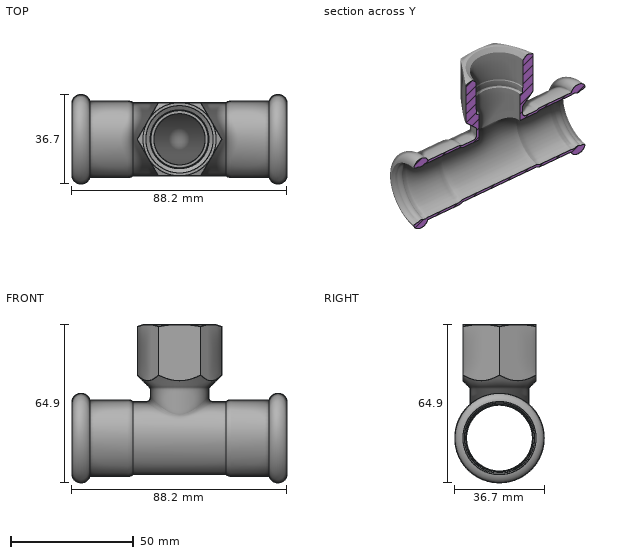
import cadquery as cq
import math

run_length = 88.2
wall = 1.5
body_radius = 15.0
body_bore_radius = body_radius - wall
socket_radius = 15.7
socket_bore_radius = socket_radius - wall

step_start_x = 19.05
step_end_x = 21.15

bead_radius = 18.35
bead_width = 7.35
mouth_radius = 15.0
land_radius = 14.4
lead_in_length = 1.35
land_length = 1.05
seal_radius = 13.85
seal_width = 3.0
land_runout = 0.95

neck_radius = 12.0
branch_bore_radius = neck_radius - wall
branch_fillet = 1.5

hex_flats = 30.0
hex_corners = hex_flats / math.cos(math.radians(30))
hex_top_z = 46.5
hex_length = 26.0
hex_bottom_z = hex_top_z - hex_length
top_chamfer_angle = math.radians(20)
collar_fillet = 1.0
thread_bore_radius = 24.12 / 2
thread_depth = 15.9
thread_mouth_radius = 13.8
relief_radius = 23.48 / 2
socket_floor_depth = 19.0


def step_arc_middle(tangent_radius, end_radius, end_x):
    """Middle point of the arc that is tangent to a socket cylinder and drops to end_radius at end_x."""
    run = step_end_x - end_x
    drop = tangent_radius - end_radius
    arc_radius = (run**2 + drop**2) / (2 * drop)
    half_angle = math.asin(run / arc_radius) / 2
    middle_x = step_end_x - arc_radius * math.sin(half_angle)
    middle_radius = tangent_radius - arc_radius * (1 - math.cos(half_angle))
    return middle_x, middle_radius


def both_ends(half_profile):
    """Revolve a profile about X and join it with its mirror image."""
    half = half_profile.close().revolve(360, (0, 0, 0), (1, 0, 0))
    return half.union(half.mirror("YZ"), clean=True)


def run_outside():
    end_x = run_length / 2
    bead_start_x = end_x - bead_width
    profile = (
        cq.Workplane("XY")
        .lineTo(0, body_radius)
        .lineTo(step_start_x, body_radius)
        .threePointArc(
            step_arc_middle(socket_radius, body_radius, step_start_x),
            (step_end_x, socket_radius),
        )
        .lineTo(bead_start_x, socket_radius)
        .threePointArc((end_x - bead_width / 2, bead_radius), (end_x, mouth_radius))
        .lineTo(end_x, 0)
    )
    return both_ends(profile)


def run_bore():
    end_x = run_length / 2
    lip_x = end_x - lead_in_length
    seal_outer_x = lip_x - land_length
    seal_inner_x = seal_outer_x - seal_width
    land_end_x = seal_inner_x - land_length
    profile = (
        cq.Workplane("XY")
        .lineTo(0, body_bore_radius)
        .lineTo(step_start_x, body_bore_radius)
        .threePointArc(
            step_arc_middle(socket_bore_radius, body_bore_radius, step_start_x),
            (step_end_x, socket_bore_radius),
        )
        .lineTo(land_end_x - land_runout, socket_bore_radius)
        .lineTo(land_end_x, land_radius)
        .lineTo(seal_inner_x, land_radius)
        .threePointArc(
            (seal_inner_x + seal_width / 2, seal_radius),
            (seal_outer_x, land_radius),
        )
        .lineTo(lip_x, land_radius)
        .lineTo(end_x, mouth_radius)
        .lineTo(end_x, 0)
    )
    return both_ends(profile)


def add_neck(run):
    """Solid branch stub, blended into the run pipe where the two cylinders meet."""
    tee = run.union(cq.Workplane("XY").circle(neck_radius).extrude(hex_bottom_z))
    reach = neck_radius + branch_fillet
    saddle = cq.selectors.BoxSelector(
        (-reach, -reach, body_radius / 2),
        (reach, reach, body_radius + branch_fillet),
        boundingbox=True,
    )
    return tee.edges(saddle).fillet(branch_fillet)


def hex_end():
    """Hexagon trimmed by a 45 degree cone below and a shallow chamfer cone above."""
    hexagon = (
        cq.Workplane("XY")
        .workplane(offset=hex_bottom_z - collar_fillet)
        .polygon(6, hex_corners)
        .extrude(hex_length + collar_fillet)
    )
    corner_radius = hex_corners / 2
    flat_radius = hex_flats / 2
    cone_top_z = hex_bottom_z + corner_radius - neck_radius
    chamfer_drop = (corner_radius - flat_radius) * math.tan(top_chamfer_angle)
    eighth_turn = math.radians(45)
    tangent_length = collar_fillet * math.tan(eighth_turn / 2)
    tangent_offset = tangent_length * math.sin(eighth_turn)
    collar_bottom_z = hex_bottom_z - tangent_length
    arc_middle = (
        neck_radius + collar_fillet * (1 - math.cos(eighth_turn / 2)),
        collar_bottom_z + collar_fillet * math.sin(eighth_turn / 2),
    )
    envelope = (
        cq.Workplane("XZ")
        .moveTo(0, collar_bottom_z)
        .lineTo(neck_radius, collar_bottom_z)
        .threePointArc(arc_middle, (neck_radius + tangent_offset, hex_bottom_z + tangent_offset))
        .lineTo(corner_radius, cone_top_z)
        .lineTo(corner_radius, hex_top_z - chamfer_drop)
        .lineTo(flat_radius, hex_top_z)
        .lineTo(0, hex_top_z)
        .close()
        .revolve(360, (0, 0, 0), (0, 1, 0))
    )
    return hexagon.intersect(envelope)


def branch_bore():
    """Countersunk thread bore, relief below it, and the bore down into the run pipe."""
    countersink_depth = thread_mouth_radius - thread_bore_radius
    relief_top_z = hex_top_z - thread_depth - (thread_bore_radius - relief_radius)
    floor_z = hex_top_z - socket_floor_depth
    return (
        cq.Workplane("XZ")
        .lineTo(branch_bore_radius, 0)
        .lineTo(branch_bore_radius, floor_z)
        .lineTo(relief_radius, floor_z)
        .lineTo(relief_radius, relief_top_z)
        .lineTo(thread_bore_radius, hex_top_z - thread_depth)
        .lineTo(thread_bore_radius, hex_top_z - countersink_depth)
        .lineTo(thread_mouth_radius, hex_top_z)
        .lineTo(0, hex_top_z)
        .close()
        .revolve(360, (0, 0, 0), (0, 1, 0))
    )


result = add_neck(run_outside()).union(hex_end()).cut(run_bore()).cut(branch_bore())